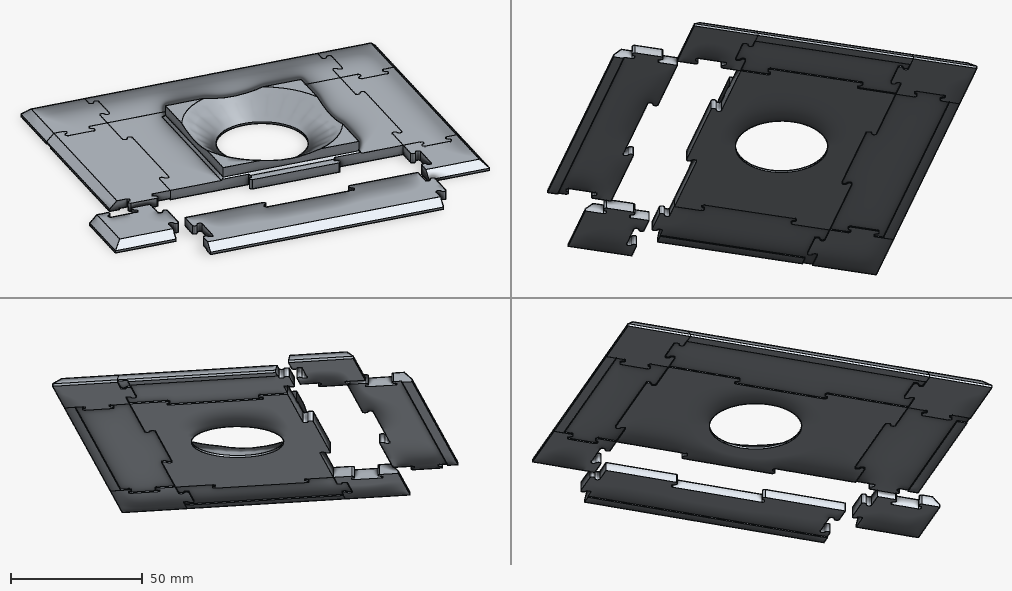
import cadquery as cq


border = 25.0
core_width = 61.0
core_height = 96.0
thickness = 4.0
rim_bevel = 3.0

column_left = [-border, 0.0, core_width]
column_width = [border, core_width, border]
row_bottom = [-border, 0.0, core_height]
row_height = [border, core_height, border]

tongue_depth = 4.0
short_tongue = 10.6
long_tongue = 35.7
tongue_wave = 0.75

relief = 0.5
lip_width = 4.0

funnel_x = (core_width + tongue_depth) / 2
funnel_y = (core_height + tongue_depth) / 2
boss_side = 55.9
boss_top = 9.0
foot = 1.0
hole_radius = 35.0 / 2
throat_height = 0.8
cone_top_radius = 30.5

right_edge_shift = (23.78, -4.1, 0.5)
loose_corner_shift = (7.0, -11.21, -0.34)


def joint_width(side_length):
    """Width of the tongue on a side of this length: short on border-wide sides, long on others."""
    return short_tongue if side_length == border else long_tongue


def tongue(width):
    """Tongue rooted on the X axis and pointing to +Y, with an S-shaped flank on both sides."""
    half = width / 2
    narrow = half - tongue_wave
    wide = half + tongue_wave
    middle = tongue_depth / 2
    neck = tongue_depth / 4
    bulge = tongue_depth - neck
    return (
        cq.Workplane("XY")
        .moveTo(half, 0)
        .threePointArc((narrow, neck), (half, middle))
        .threePointArc((wide, bulge), (half, tongue_depth))
        .lineTo(-half, tongue_depth)
        .threePointArc((-wide, bulge), (-half, middle))
        .threePointArc((-narrow, neck), (-half, 0))
        .close()
        .extrude(thickness)
    )


def tongue_to_right(x, y, side_length):
    """Tongue that points to +X from a vertical side."""
    return tongue(joint_width(side_length)).rotate((0, 0, 0), (0, 0, 1), -90).translate((x, y, 0))


def tongue_to_back(x, y, side_length):
    """Tongue that points to +Y from a horizontal side."""
    return tongue(joint_width(side_length)).translate((x, y, 0))


def slab(left, bottom, width, height, depth):
    """Rectangular block standing on z = 0."""
    return cq.Workplane("XY").box(width, height, depth, centered=False).translate((left, bottom, 0))


def tile(column, row):
    """Plate at one place of the grid, with its bevels on the mat's rim and its joints elsewhere."""
    width = column_width[column]
    height = row_height[row]
    left = column_left[column]
    bottom = row_bottom[row]
    right = left + width
    top = bottom + height
    center_x = funnel_x if column == 1 else left + width / 2
    center_y = funnel_y if row == 1 else bottom + height / 2

    plate = slab(left, bottom, width, height, thickness)
    rim_sides = []
    if column == 0:
        rim_sides.append("<X")
    if column == 2:
        rim_sides.append(">X")
    if row == 0:
        rim_sides.append("<Y")
    if row == 2:
        rim_sides.append(">Y")
    if rim_sides:
        plate = plate.faces(">Z").edges(" or ".join(rim_sides)).chamfer(rim_bevel)

    if column < 2:
        plate = plate.union(tongue_to_right(right, center_y, height))
    if row < 2:
        plate = plate.union(tongue_to_back(center_x, top, width))
    if column > 0:
        plate = plate.cut(tongue_to_right(left, center_y, height))
    if row > 0:
        plate = plate.cut(tongue_to_back(center_x, bottom, width))
    return plate


def raise_underside(edge_tile, lip):
    """Remove the bottom layer of an edge tile, except for its lip."""
    box = edge_tile.val().BoundingBox()
    layer = slab(box.xmin, box.ymin, box.xlen, box.ylen, relief)
    return edge_tile.cut(layer.cut(lip))


def left_edge():
    lip = slab(-border, 0, lip_width, core_height, relief)
    return raise_underside(tile(0, 1), lip)


def right_edge():
    lip = slab(core_width + border - lip_width, 0, lip_width, core_height, relief)
    return raise_underside(tile(2, 1), lip).translate(right_edge_shift)


def back_edge():
    lip = slab(0, core_height + border - lip_width, core_width, lip_width, relief)
    return raise_underside(tile(1, 2), lip)


def front_edge():
    """This lip stops short of the slotted end by the depth of the slot."""
    lip = slab(tongue_depth, -border, core_width - tongue_depth, lip_width, relief)
    return raise_underside(tile(1, 0), lip)


def funnel_tile():
    """Middle tile with a square boss and a conical funnel through it."""
    plate = tile(1, 1)
    foot_side = boss_side + 2 * foot
    boss = (
        cq.Workplane("XY", origin=(funnel_x, funnel_y, 0))
        .rect(boss_side, boss_side)
        .extrude(boss_top)
    )
    sloped_foot = (
        cq.Workplane("XY", origin=(funnel_x, funnel_y, thickness))
        .rect(foot_side, foot_side)
        .extrude(foot, taper=45)
    )
    outline = cq.Workplane("XY").add(plate.faces("<Z").wires().vals()).toPending().extrude(thickness + foot)
    trimmed_foot = sloped_foot.intersect(outline)
    funnel = (
        cq.Workplane("XZ")
        .moveTo(0, 0)
        .lineTo(hole_radius, 0)
        .lineTo(hole_radius, throat_height)
        .lineTo(cone_top_radius, boss_top)
        .lineTo(0, boss_top)
        .close()
        .revolve(360, (0, 0, 0), (0, 1, 0))
        .translate((funnel_x, funnel_y, 0))
    )
    return plate.union(trimmed_foot).union(boss).cut(funnel)


fixed_corners = [tile(column, row) for column, row in [(0, 0), (0, 2), (2, 2)]]
loose_corner = tile(2, 0).translate(loose_corner_shift)

result = cq.Compound.makeCompound([
    funnel_tile().val(),
    left_edge().val(),
    right_edge().val(),
    back_edge().val(),
    front_edge().val(),
    *[corner.val() for corner in fixed_corners],
    loose_corner.val(),
])